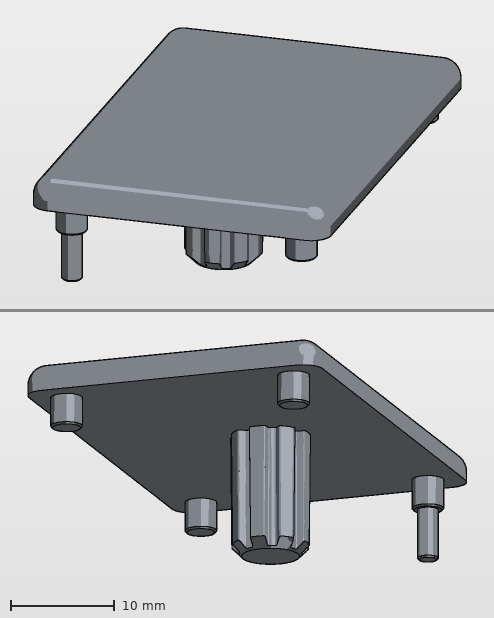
import cadquery as cq

plate_width = 30.0
plate_length = 45.0
plate_thickness = 2.95
edge_radius = 2.0

boss_diameter = 3.05
boss_height = 3.0
boss_x = 11.6
boss_y = 19.25
end_chamfer = 0.2

pin_diameter = 2.02
pin_length = 5.0

overall_height = 15.0
stem_length = overall_height - plate_thickness
stem_x = -2.4
tip_diameter = 7.8
root_diameter = 6.2
tooth_count = 8
tooth_width = 1.7
stem_draft = 0.5
stem_chamfer = 1.0
tooth_fillet = 0.2


def make_plate():
    """Plate with equally rounded vertical corners and top edges."""
    plate = cq.Workplane("XY").box(plate_width, plate_length, plate_thickness, centered=(True, True, False))
    return plate.edges("|Z").fillet(edge_radius).faces(">Z").edges().fillet(edge_radius)


def make_peg(x, y, diameter, length):
    """Cylinder hanging from Z = 0 with a chamfered lower end."""
    peg = cq.Workplane("XY").center(x, y).circle(diameter / 2).extrude(-length)
    return peg.faces("<Z").chamfer(end_chamfer)


def make_stem():
    """Stem with rounded radial teeth and a conical lead-in at its free end."""
    core = cq.Workplane("XY").circle(root_diameter / 2).extrude(-stem_length, taper=stem_draft)
    envelope = cq.Workplane("XY").circle(tip_diameter / 2).extrude(-stem_length, taper=stem_draft)
    tooth_pitch = 360 / tooth_count
    envelope = envelope.rotate((0, 0, 0), (0, 0, 1), tooth_pitch / 2)

    bar = cq.Workplane("XY").rect(2 * tip_diameter, tooth_width).extrude(-stem_length, taper=stem_draft)
    stem = core
    for index in range(tooth_count // 2):
        stem = stem.union(bar.rotate((0, 0, 0), (0, 0, 1), index * tooth_pitch))
    stem = stem.intersect(envelope)

    stem = stem.edges("not (<Z or >Z)").fillet(tooth_fillet)

    lead_in = envelope.faces("<Z").chamfer(stem_chamfer)
    return stem.intersect(lead_in).translate((stem_x, 0, 0))


result = make_plate()
for x in (-boss_x, boss_x):
    for y in (-boss_y, boss_y):
        result = result.union(make_peg(x, y, boss_diameter, boss_height))
result = result.union(make_peg(-boss_x, -boss_y, pin_diameter, boss_height + pin_length))
result = result.union(make_stem())